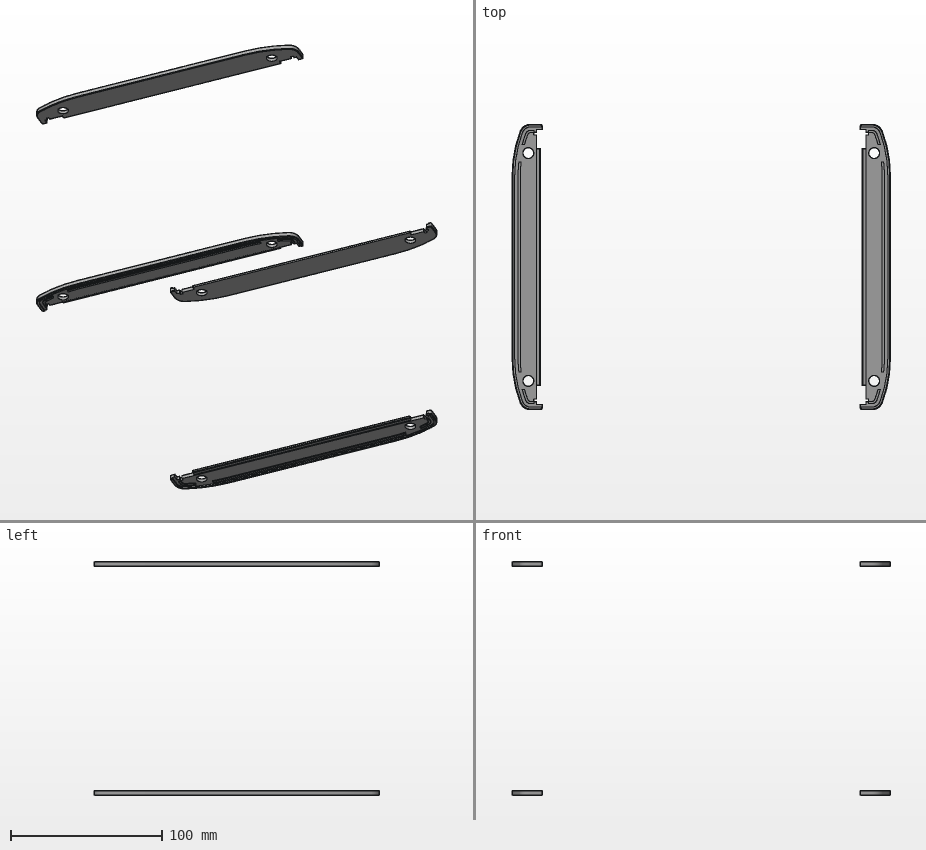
import cadquery as cq
import math

OVERALL_X = 250.4
RAIL_LENGTH = 188.8
OVERALL_Z = 155.0

THICKNESS = 3.5
HOOK_REACH = 20.0
HOOK_WIDTH = 3.5
FLOOR_EDGE = 16.3
STRAIGHT_HALF = 60.5
BOW_RADIUS = 82.5
BOW_END_Y = 89.6
EDGE_CHAMFER = 0.5
HOOK_TIP_RADIUS = 1.3

RIM_WIDTH = 1.8
FLOOR_THICKNESS = 2.5

RIB_START = 4.0
RIB_END = 5.5
RIB_HEIGHT = 0.8
RIB_GAP = 11.5

LIP_EDGE = 18.8
LIP_HALF_LENGTH = 78.4
LIP_THICKNESS = 1.8

HOLE_DIAMETER = 7.0
HOLE_X = 10.8
HOLE_Y = 75.4
NOTCH_SIZE = 1.8
NOTCH_START_Y = 87.5

HALF_LENGTH = RAIL_LENGTH / 2
BOW_ANGLE = math.asin((BOW_END_Y - STRAIGHT_HALF) / BOW_RADIUS)
CORNER_RADIUS = (HALF_LENGTH - BOW_END_Y) / (1 - math.sin(BOW_ANGLE))
CORNER_X = BOW_RADIUS - (BOW_RADIUS - CORNER_RADIUS) * math.cos(BOW_ANGLE)
CORNER_Y = HALF_LENGTH - CORNER_RADIUS


def arc_point(center_x, center_y, radius, angle):
    """Point on an arc, with the angle measured from the outward (-X) direction towards +Y."""
    return (center_x - radius * math.cos(angle), center_y + radius * math.sin(angle))


def rim_slab(inset, inner_edge, height):
    """Slab between the rounded outer edge, moved inwards by inset, and a straight inner edge."""
    bow = BOW_RADIUS - inset
    corner = CORNER_RADIUS - inset
    corner_top = arc_point(CORNER_X, CORNER_Y, corner, math.pi / 2)
    corner_middle = arc_point(CORNER_X, CORNER_Y, corner, (BOW_ANGLE + math.pi / 2) / 2)
    bow_top = arc_point(BOW_RADIUS, STRAIGHT_HALF, bow, BOW_ANGLE)
    bow_middle = arc_point(BOW_RADIUS, STRAIGHT_HALF, bow, BOW_ANGLE / 2)
    bow_bottom = (inset, STRAIGHT_HALF)

    def across(point):
        return (point[0], -point[1])

    return (
        cq.Workplane("XY")
        .moveTo(inner_edge, corner_top[1])
        .lineTo(*corner_top)
        .threePointArc(corner_middle, bow_top)
        .threePointArc(bow_middle, bow_bottom)
        .lineTo(*across(bow_bottom))
        .threePointArc(across(bow_middle), across(bow_top))
        .threePointArc(across(corner_middle), across(corner_top))
        .lineTo(inner_edge, -corner_top[1])
        .close()
        .extrude(height)
    )


def block(x_start, x_end, y_start, y_end, height):
    """Box standing on the plane z = 0."""
    size = (x_end - x_start, y_end - y_start, height)
    return cq.Workplane("XY").box(*size, centered=False).translate((x_start, y_start, 0))


def rim_and_floor():
    """Chamfered outline with rounded hook tips, hollowed to leave the rim standing above the floor."""
    plate = rim_slab(0, HOOK_REACH, THICKNESS)
    plate = plate.edges("|Z and >X").fillet(HOOK_TIP_RADIUS)
    plate = plate.faces("<Z or >Z").chamfer(EDGE_CHAMFER)
    mouth = HALF_LENGTH - HOOK_WIDTH
    plate = plate.cut(block(FLOOR_EDGE, HOOK_REACH, -mouth, mouth, THICKNESS))
    hollow = rim_slab(RIM_WIDTH, HOOK_REACH, THICKNESS)
    return plate.cut(hollow.translate((0, 0, FLOOR_THICKNESS)))


def rib():
    """Rib parallel to the rim, running from notch to notch, with its foot sunk in the floor."""
    reach = FLOOR_EDGE - NOTCH_SIZE
    strip = rim_slab(RIB_START, reach, FLOOR_THICKNESS + RIB_HEIGHT)
    strip = strip.cut(rim_slab(RIB_END, HOOK_REACH, THICKNESS))
    for side in (1, -1):
        middle = side * HOLE_Y
        strip = strip.cut(block(0, reach, middle - RIB_GAP / 2, middle + RIB_GAP / 2, THICKNESS))
    return strip


def lip():
    """Thin lip with a chamfered upper edge, lying against the straight edge of the floor."""
    strip = block(FLOOR_EDGE, LIP_EDGE, -LIP_HALF_LENGTH, LIP_HALF_LENGTH, LIP_THICKNESS)
    return strip.edges(">X and >Z").chamfer(EDGE_CHAMFER)


def make_rail():
    """One rail lying with its plain face on z = 0 and its rim towards +Z."""
    rail = rim_and_floor().union(rib()).union(lip())
    for side in (1, -1):
        hole = cq.Workplane("XY").center(HOLE_X, side * HOLE_Y).circle(HOLE_DIAMETER / 2).extrude(THICKNESS)
        notch_ends = sorted((side * NOTCH_START_Y, side * (NOTCH_START_Y + NOTCH_SIZE)))
        notch = block(FLOOR_EDGE - NOTCH_SIZE, FLOOR_EDGE, *notch_ends, THICKNESS)
        rail = rail.cut(hole).cut(notch)
    return rail


upper_left = make_rail().translate((-OVERALL_X / 2, 0, OVERALL_Z / 2 - THICKNESS))
rails = []
for left in (upper_left, upper_left.mirror("XY")):
    rails.extend([left, left.mirror("YZ")])

result = cq.Compound.makeCompound([rail.val() for rail in rails])